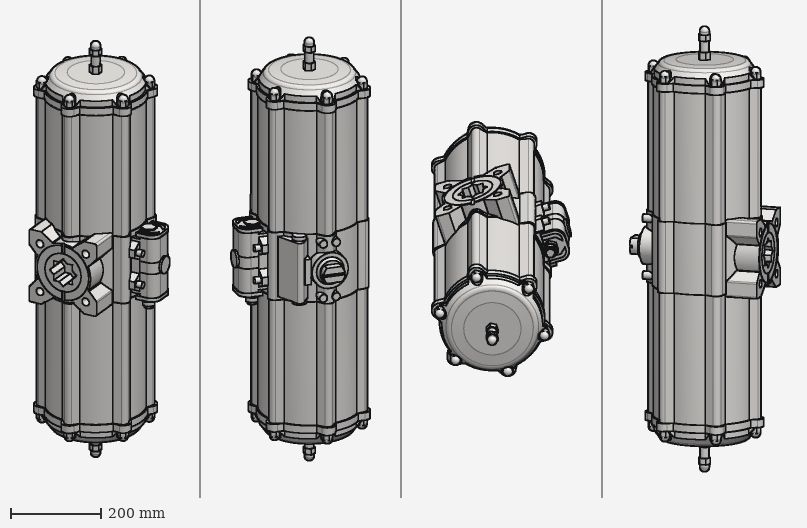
import cadquery as cq
import math

total_length = 1007.0
bolt_circle_radius = 119.0
bolt_angles = [30 + 60 * i for i in range(6)]

tube_barrel_radius = 114.0
middle_barrel_radius = 116.0
flange_barrel_radius = 117.0
lobe_foot_angle = 11.4
tube_lobe_radius = 12.0
middle_lobe_radius = 15.0
flange_lobe_radius = 18.0

middle_top = 81.0
flange_bottom = 375.0
flange_top = 393.0

cap_wall_radius = 112.0
cap_wall_top = 408.0
cap_cone_radius = 103.0
cap_cone_top = 420.0
cap_edge_middle = (99.0, 425.0)
cap_face_radius = 91.0
cap_face_height = 427.0
cap_disc_radius = 63.0
cap_top = 429.0
spotface_radius = 14.0

nut_hex_corners = 24.0
nut_dome_radius = 11.0
nut_hex_height = 15.0

screw_rod_radius = 10.0
screw_dome_radius = 11.0
screw_hex_corners = 27.0
lower_nut_top = 446.0
upper_nut_bottom = 471.0
upper_nut_top = 485.0
screw_dome_base = total_length / 2 - screw_dome_radius

pad_face = -149.0
pad_root = -50.0
pad_core_radius = 70.0
pad_half_width = 86.0
pad_half_height = 88.0
ear_corner_fillet = 5.0
ear_edge_x = 54.0
ear_root_x = 26.0
ear_root_z = 67.0
ear_edge_z = 51.0
ear_side_x = 66.0
ear_side_z = 30.0
pad_hole_spacing = 116.0
pad_hole_diameter = 18.0
pad_hole_depth = 30.0
pad_recess_radius = 65.0
pad_recess_depth = 1.0
key_slot_width = 7.0
key_slot_depth = 3.0

pinion_face = pad_face + pad_recess_depth
pinion_radius = 92.0 / 2
pinion_shoulder = 91.0
pinion_neck_radius = 32.0
pinion_cone_start = 139.0
pinion_cone_end = 147.0
pinion_cone_end_radius = 27.0
pinion_stem_radius = 25.0
pinion_end = 166.0
stem_flats = 36.0
socket_square = 47.0
socket_depth = 50.0
end_groove_width = 4.9
end_groove_depth = 6.0

hub_radius = 42.0
hub_face = 138.0
boss_radius = 9.0
boss_x = 15.0
boss_z = 64.0
boss_face = 137.0

stop_peak = (66.0, 133.0)
stop_half_height = 71.0
stop_foot_left = (hub_radius, 108.0)
stop_foot_right = (101.0, 76.0)
stop_tip_half_width = 8.0
stop_inner_centre = (60.0, 104.0)
stop_inner_radius = 16.0
stop_ledge_end_x = 56.0
stop_ledge_face = 131.0
stop_ledge_half_height = 30.0

valve_body_x = 132.0
valve_end_x = 172.0
valve_half_width = 36.0
valve_end_fillet = 22.0
valve_body_top = 71.0
valve_cap_x = 123.0
valve_cap_margin = 1.0
valve_rim_width = 6.0
valve_recess_depth = 1.0
island_half_width = 21.0
island_tip_half_width = 8.0
island_shoulder_x = 153.0
island_tip_x = valve_end_x - valve_rim_width
valve_seat_half_height = 66.0
valve_band_height = 27.0
valve_band_margin = 0.5
button_radius = 20.0
button_end_x = 177.0
lug_tip_y = 59.0
lug_tip_half_height = 9.6
lug_base_y = 30.0
lug_base_half_height = 24.0
valve_bolt_y = 46.0
valve_bolt_z = 38.0
lug_root_x = 101.0
valve_bolt_radius = 7.6
valve_bolt_end_x = 146.0
gland_x = 135.0
gland_hex_corners = 36.0
gland_top = 84.0
gland_hex_bottom = -93.0
gland_collar_radius = 27.0 / 2
gland_collar_bottom = -105.0
gland_tip_radius = 10.0
gland_bottom = -111.0


def polar(radius, degrees):
    angle = math.radians(degrees)
    return radius * math.cos(angle), radius * math.sin(angle)


def lobed_section(barrel_radius, lobe_radius, height):
    """Round barrel, centred on Z = 0, with six lobes joined to it by tangent flats."""
    foot_x, foot_y = polar(barrel_radius, lobe_foot_angle)
    foot_distance = math.hypot(foot_x - bolt_circle_radius, foot_y)
    foot_bearing = math.degrees(math.atan2(foot_y, foot_x - bolt_circle_radius))
    tangent_bearing = foot_bearing - math.degrees(math.acos(lobe_radius / foot_distance))
    tangent_x, tangent_y = polar(lobe_radius, tangent_bearing)
    outline = [
        (foot_x, foot_y),
        (bolt_circle_radius + tangent_x, tangent_y),
        (bolt_circle_radius + lobe_radius, 0),
        (bolt_circle_radius + tangent_x, -tangent_y),
        (foot_x, -foot_y),
    ]
    lobe = (
        cq.Workplane("XY").workplane(offset=-height / 2)
        .moveTo(0, 0).lineTo(*outline[4]).lineTo(*outline[3])
        .threePointArc(outline[2], outline[1])
        .lineTo(*outline[0]).close().extrude(height)
    )
    section = cq.Workplane("XY").circle(barrel_radius).extrude(height / 2, both=True)
    for angle in bolt_angles:
        section = section.union(lobe.rotate((0, 0, 0), (0, 0, 1), angle))
    return section


def z_prism(bottom, top):
    """Sketch plane and extrusion height for a prism along Z."""
    return cq.Workplane("XY").workplane(offset=bottom), top - bottom


def z_cylinder(radius, bottom, top, x=0.0, y=0.0):
    plane, height = z_prism(bottom, top)
    return plane.center(x, y).circle(radius).extrude(height)


def z_hexagon(corners, bottom, top, turn, x=0.0, y=0.0):
    plane, height = z_prism(bottom, top)
    hexagon = plane.polygon(6, corners).extrude(height).rotate((0, 0, 0), (0, 0, 1), turn)
    return hexagon.translate((x, y, 0))


def y_cylinder(radius, start, end, x=0.0, z=0.0):
    return cq.Workplane("XZ", origin=(x, start, z)).circle(radius).extrude(start - end)


def x_cylinder(radius, start, end, y=0.0, z=0.0):
    return cq.Workplane("YZ", origin=(start, y, z)).circle(radius).extrude(end - start)


def end_cap():
    """Domed cap on its lobed flange, spot-faced for the nuts."""
    flange_thickness = flange_top - flange_bottom
    flange = lobed_section(flange_barrel_radius, flange_lobe_radius, flange_thickness)
    flange = flange.translate((0, 0, flange_bottom + flange_thickness / 2))
    cone_slope = (cap_wall_radius - cap_cone_radius) / (cap_cone_top - cap_wall_top)
    cone_foot_radius = cap_cone_radius + cone_slope * (cap_cone_top - flange_top)
    dome = (
        cq.Workplane("XZ").moveTo(0, flange_bottom)
        .lineTo(cone_foot_radius, flange_bottom).lineTo(cone_foot_radius, flange_top)
        .lineTo(cap_cone_radius, cap_cone_top)
        .threePointArc(cap_edge_middle, (cap_face_radius, cap_face_height))
        .lineTo(cap_disc_radius, cap_top).lineTo(0, cap_top).close()
        .revolve(360, (0, 0), (0, 1))
    )
    dome = dome.intersect(lobed_section(cap_wall_radius, spotface_radius, 2 * cap_top))
    for angle in bolt_angles:
        x, y = polar(bolt_circle_radius, angle)
        dome = dome.cut(z_cylinder(spotface_radius, flange_top, cap_top, x, y))
    return flange.union(dome)


def cap_nut(angle):
    """Acorn nut on the end flange."""
    x, y = polar(bolt_circle_radius, angle)
    dome_base = flange_top + nut_hex_height
    hexagon = z_hexagon(nut_hex_corners, flange_top, dome_base, angle, x, y)
    dome = cq.Workplane("XY").sphere(nut_dome_radius).translate((x, y, dome_base))
    return hexagon.union(dome)


def stop_screw():
    """Travel stop screw with two hexagons and a domed tip."""
    hex_turn = 90
    screw = z_cylinder(screw_rod_radius, cap_face_height, upper_nut_top)
    screw = screw.union(z_hexagon(screw_hex_corners, cap_face_height, lower_nut_top, hex_turn))
    screw = screw.union(z_hexagon(screw_hex_corners, upper_nut_bottom, upper_nut_top, hex_turn))
    screw = screw.union(z_cylinder(screw_dome_radius, upper_nut_top, screw_dome_base))
    dome = cq.Workplane("XY").sphere(screw_dome_radius).translate((0, 0, screw_dome_base))
    return screw.union(dome)


def cylinder_end():
    end = end_cap().union(stop_screw())
    for angle in bolt_angles:
        end = end.union(cap_nut(angle))
    return end


def pad_ear():
    """One ear of the mounting pad, in the +X +Z corner."""
    ear = (
        cq.Workplane("XZ", origin=(0, pad_root, 0)).moveTo(0, 0)
        .lineTo(ear_side_x, ear_side_z).lineTo(pad_half_width, ear_edge_z)
        .lineTo(pad_half_width, pad_half_height).lineTo(ear_edge_x, pad_half_height)
        .lineTo(ear_root_x, ear_root_z).close().extrude(pad_root - pad_face)
    )
    for corner_z in (pad_half_height, ear_edge_z):
        corner = (pad_half_width, (pad_root + pad_face) / 2, corner_z)
        ear = ear.edges(cq.selectors.NearestToPointSelector(corner)).fillet(ear_corner_fillet)
    hole_at = pad_hole_spacing / 2
    hole = y_cylinder(pad_hole_diameter / 2, pad_face, pad_face + pad_hole_depth, hole_at, hole_at)
    return ear.cut(hole)


def mounting_pad():
    """Four-eared pad with a shallow round recess and two key slots."""
    ear = pad_ear()
    upper_ears = ear.union(ear.mirror("YZ"))
    pad = y_cylinder(pad_core_radius, pad_face, pad_root)
    pad = pad.union(upper_ears).union(upper_ears.mirror("XY"))
    pad = pad.cut(y_cylinder(pad_recess_radius, pad_face, pinion_face))
    slots = cq.Workplane("XY").box(key_slot_width, 2 * key_slot_depth, 2 * pad_core_radius)
    return pad.cut(slots.translate((0, pad_face, 0)))


def back_side():
    """Hub around the pinion and four accessory bosses on the +Y side."""
    back = y_cylinder(hub_radius, 0, hub_face)
    for x in (-boss_x, boss_x):
        for z in (-boss_z, boss_z):
            back = back.union(y_cylinder(boss_radius, 0, boss_face, x, z))
    return back


def stop_housing():
    """Round-tipped wedge beside the hub, with a rounded core and a low ledge."""
    peak_x, peak_y = stop_peak
    plane, height = z_prism(-stop_half_height, stop_half_height)
    wedge = (
        plane.moveTo(0, 0).lineTo(*stop_foot_left)
        .lineTo(peak_x - stop_tip_half_width, peak_y - stop_tip_half_width / 2)
        .threePointArc(stop_peak, (peak_x + stop_tip_half_width, peak_y - stop_tip_half_width / 2))
        .lineTo(*stop_foot_right).close().extrude(height)
    )
    core = z_cylinder(stop_inner_radius, -middle_top, middle_top, *stop_inner_centre)
    ledge_plane, ledge_height = z_prism(-stop_ledge_half_height, stop_ledge_half_height)
    ledge = ledge_plane.center(hub_radius, 0)
    ledge = ledge.rect(stop_ledge_end_x - hub_radius, stop_ledge_face, centered=False).extrude(ledge_height)
    return wedge.union(core).union(ledge)


def valve_section(start_x, margin, bottom, top):
    """Valve outline in plan, with rounded outer corners."""
    plane, height = z_prism(bottom, top)
    length = valve_end_x + margin - start_x
    block = plane.center(start_x + length / 2, 0).rect(length, 2 * (valve_half_width + margin))
    return block.extrude(height).edges("|Z and >X").fillet(valve_end_fillet + margin)


def valve_cap():
    """End plate of the valve, with a shallow recess around a pointed island."""
    recess_floor = middle_top - valve_recess_depth
    plate = valve_section(valve_cap_x, valve_cap_margin, valve_body_top, middle_top)
    recess = valve_section(valve_cap_x, -valve_rim_width, recess_floor, middle_top)
    plane, height = z_prism(recess_floor, middle_top)
    island = (
        plane.moveTo(valve_cap_x, -island_half_width).lineTo(island_shoulder_x, -island_half_width)
        .lineTo(island_tip_x, -island_tip_half_width).lineTo(island_tip_x, island_tip_half_width)
        .lineTo(island_shoulder_x, island_half_width).lineTo(valve_cap_x, island_half_width)
        .close().extrude(height)
    )
    return plate.cut(recess).union(island)


def valve_lug():
    """Tapered lug on the +Y side of the valve, centred on Z = 0."""
    return (
        cq.Workplane("YZ", origin=(lug_root_x, 0, 0))
        .moveTo(lug_base_y, -lug_base_half_height).lineTo(lug_tip_y, -lug_tip_half_height)
        .lineTo(lug_tip_y, lug_tip_half_height).lineTo(lug_base_y, lug_base_half_height)
        .close().extrude(valve_body_x - lug_root_x)
    )


def valve():
    """Control valve with its seat, end plates, centre band, button, lugs and bolts."""
    seat_length = valve_body_x - lug_root_x
    unit = (
        cq.Workplane("XY").box(seat_length, 2 * valve_half_width, 2 * valve_seat_half_height)
        .translate((lug_root_x + seat_length / 2, 0, 0))
    )
    unit = unit.union(valve_section(valve_body_x, 0, -valve_body_top, valve_body_top))
    cap = valve_cap()
    unit = unit.union(cap).union(cap.mirror("XY"))
    half_band = valve_band_height / 2
    unit = unit.union(valve_section(valve_body_x, valve_band_margin, -half_band, half_band))
    unit = unit.union(x_cylinder(button_radius, valve_body_x, button_end_x))
    for z in (-valve_bolt_z, valve_bolt_z):
        lug = valve_lug().translate((0, 0, z))
        unit = unit.union(lug).union(lug.mirror("XZ"))
        for y in (-valve_bolt_y, valve_bolt_y):
            unit = unit.union(x_cylinder(valve_bolt_radius, valve_body_x, valve_bolt_end_x, y, z))
    return unit


def cable_gland():
    """Hexagonal fitting through the valve with a stepped lower end."""
    gland = z_hexagon(gland_hex_corners, gland_hex_bottom, gland_top, 90, gland_x)
    gland = gland.union(z_cylinder(gland_collar_radius, gland_collar_bottom, gland_hex_bottom, gland_x))
    return gland.union(z_cylinder(gland_tip_radius, gland_bottom, gland_collar_bottom, gland_x))


def pinion_blank():
    """Stepped pinion shape, also the shape of the bore."""
    return (
        cq.Workplane("XY").moveTo(0, pinion_face)
        .lineTo(pinion_radius, pinion_face).lineTo(pinion_radius, pinion_shoulder)
        .lineTo(pinion_neck_radius, pinion_shoulder).lineTo(pinion_neck_radius, pinion_cone_start)
        .lineTo(pinion_cone_end_radius, pinion_cone_end).lineTo(pinion_stem_radius, pinion_cone_end)
        .lineTo(pinion_stem_radius, pinion_end).lineTo(0, pinion_end).close()
        .revolve(360, (0, 0), (0, 1))
    )


def make_pinion():
    """Pinion with an eight-pointed socket, a flatted stem and a groove across the stem end."""
    pinion = pinion_blank()
    for turn in (0, 45):
        square = cq.Workplane("XY").box(socket_square, 2 * socket_depth, socket_square)
        square = square.rotate((0, 0, 0), (0, 1, 0), turn)
        pinion = pinion.cut(square.translate((0, pinion_face, 0)))
    stem_length = pinion_end - pinion_cone_end
    for side in (-1, 1):
        flat = cq.Workplane("XY").box(2 * pinion_radius, stem_length, stem_flats)
        pinion = pinion.cut(flat.translate((0, pinion_cone_end + stem_length / 2, side * stem_flats)))
    groove = cq.Workplane("XY").box(2 * pinion_radius, 2 * end_groove_depth, end_groove_width)
    return pinion.cut(groove.translate((0, pinion_end, 0)))


def make_housing():
    """Complete actuator housing with the stepped bore for the pinion."""
    body = lobed_section(tube_barrel_radius, tube_lobe_radius, flange_bottom * 2)
    body = body.union(lobed_section(middle_barrel_radius, middle_lobe_radius, middle_top * 2))
    end = cylinder_end()
    body = body.union(end).union(end.mirror("XY"))
    for feature in (mounting_pad(), back_side(), stop_housing(), valve(), cable_gland()):
        body = body.union(feature)
    return body.cut(pinion_blank())


housing = make_housing()
pinion = make_pinion()
result = cq.Compound.makeCompound([housing.val(), pinion.val()])